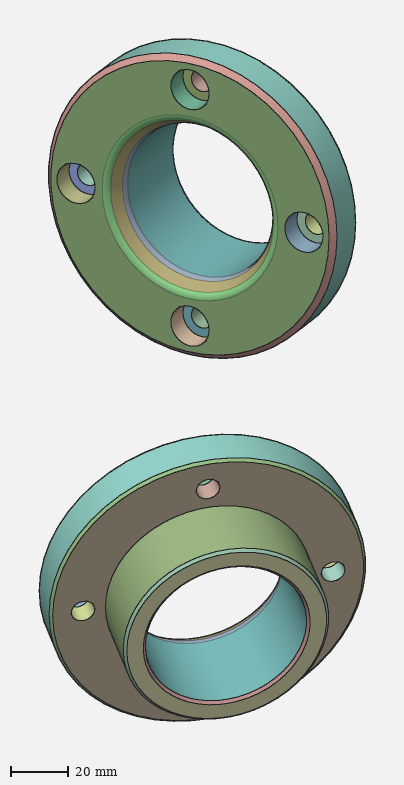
import cadquery as cq
import math

FLANGE_DIAMETER = 114.0
FLANGE_THICKNESS = 17.0
TOTAL_LENGTH = 43.0
BOSS_DIAMETER = 74.0
BORE_DIAMETER = 58.0
FRONT_CHAMFER = 2.0
BACK_CHAMFER = 1.0

ENTRY_DIAMETER = 69.4
ENTRY_HALF_ANGLE = math.radians(30)
LIP_RADIUS = 3.0
THROAT_RADIUS = 5.0

HOLE_COUNT = 4
HOLE_CIRCLE_RADIUS = 45.0
HOLE_DIAMETER = 8.4
COUNTERBORE_DIAMETER = 15.0
COUNTERBORE_DEPTH = 9.0


def arc_point(center, radius, angle):
    """Point on a circle in the radius-Y profile plane."""
    return (center[0] + radius * math.cos(angle), center[1] + radius * math.sin(angle))


def make_body():
    """Revolve the flange, boss and blended bore about the Y axis."""
    flange_radius = FLANGE_DIAMETER / 2
    boss_radius = BOSS_DIAMETER / 2
    bore_radius = BORE_DIAMETER / 2
    entry_radius = ENTRY_DIAMETER / 2

    lip_center = (entry_radius, LIP_RADIUS)
    lip_sweep = math.pi / 2 - ENTRY_HALF_ANGLE
    lip_start_angle = -math.pi / 2
    lip_middle = arc_point(lip_center, LIP_RADIUS, lip_start_angle - lip_sweep / 2)
    lip_end = arc_point(lip_center, LIP_RADIUS, lip_start_angle - lip_sweep)

    throat_radial_drop = THROAT_RADIUS * (1 - math.cos(ENTRY_HALF_ANGLE))
    throat_start_radius = bore_radius + throat_radial_drop
    cone_depth = (lip_end[0] - throat_start_radius) / math.tan(ENTRY_HALF_ANGLE)
    throat_start = (throat_start_radius, lip_end[1] + cone_depth)
    throat_center = (
        bore_radius + THROAT_RADIUS,
        throat_start[1] + THROAT_RADIUS * math.sin(ENTRY_HALF_ANGLE),
    )
    throat_middle = arc_point(throat_center, THROAT_RADIUS, math.pi + ENTRY_HALF_ANGLE / 2)
    throat_end = (bore_radius, throat_center[1])

    profile = (
        cq.Workplane("XY")
        .moveTo(entry_radius, 0)
        .lineTo(flange_radius - FRONT_CHAMFER, 0)
        .lineTo(flange_radius, FRONT_CHAMFER)
        .lineTo(flange_radius, FLANGE_THICKNESS - BACK_CHAMFER)
        .lineTo(flange_radius - BACK_CHAMFER, FLANGE_THICKNESS)
        .lineTo(boss_radius, FLANGE_THICKNESS)
        .lineTo(boss_radius, TOTAL_LENGTH - BACK_CHAMFER)
        .lineTo(boss_radius - BACK_CHAMFER, TOTAL_LENGTH)
        .lineTo(bore_radius + BACK_CHAMFER, TOTAL_LENGTH)
        .lineTo(bore_radius, TOTAL_LENGTH - BACK_CHAMFER)
        .lineTo(*throat_end)
        .threePointArc(throat_middle, throat_start)
        .lineTo(*lip_end)
        .threePointArc(lip_middle, (entry_radius, 0))
        .close()
    )
    return profile.revolve(360, (0, 0, 0), (0, 1, 0))


def drill_screw_holes(body):
    """Cut counterbored through holes into the front face, on the X and Z axes."""
    return (
        body.copyWorkplane(cq.Workplane("XZ"))
        .polarArray(HOLE_CIRCLE_RADIUS, 0, 360, HOLE_COUNT)
        .cboreHole(HOLE_DIAMETER, COUNTERBORE_DIAMETER, COUNTERBORE_DEPTH)
    )


result = drill_screw_holes(make_body())